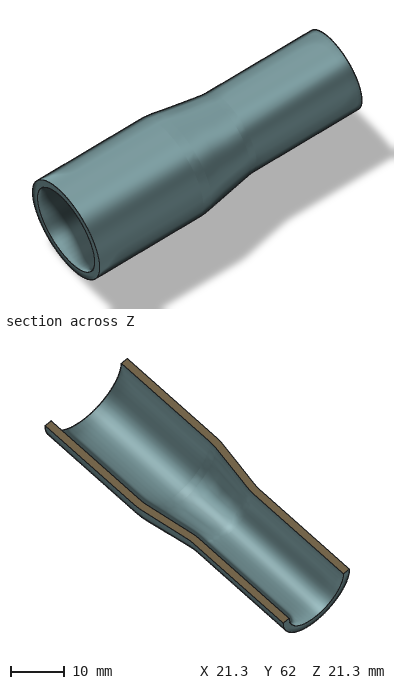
import cadquery as cq
import math

length = 62.0
large_outer_diameter = 21.3
large_bore_diameter = 18.1
small_outer_diameter = 17.2
small_bore_diameter = 14.0

cone_length = 12.0
inner_bend_radius = 10.4

wall = (large_outer_diameter - large_bore_diameter) / 2
large_outer_bend = inner_bend_radius + wall
small_outer_bend = inner_bend_radius - wall
cone_start = (length - cone_length) / 2
radius_drop = (large_outer_diameter - small_outer_diameter) / 2
cone_angle = math.atan2(radius_drop, cone_length)
bore_shift = wall * math.tan(cone_angle / 2)


def reducer_body(large_diameter, small_diameter, cone_start_y, large_bend, small_bend):
    """Solid of revolution about Y: large cylinder, cone, small cylinder, with rounded bends."""
    large_radius = large_diameter / 2
    small_radius = small_diameter / 2
    cone_end_y = cone_start_y + cone_length
    body = (
        cq.Workplane("XY")
        .moveTo(0, 0)
        .lineTo(large_radius, 0)
        .lineTo(large_radius, cone_start_y)
        .lineTo(small_radius, cone_end_y)
        .lineTo(small_radius, length)
        .lineTo(0, length)
        .close()
        .revolve(360, (0, 0, 0), (0, 1, 0))
    )
    for bend_y, bend_radius in ((cone_start_y, large_bend), (cone_end_y, small_bend)):
        bend_edge = cq.selectors.BoxSelector(
            (-length, bend_y - wall, -length),
            (length, bend_y + wall, length),
            boundingbox=True,
        )
        body = body.edges(bend_edge).fillet(bend_radius)
    return body


outside = reducer_body(
    large_outer_diameter, small_outer_diameter, cone_start, large_outer_bend, small_outer_bend
)
bore = reducer_body(
    large_bore_diameter, small_bore_diameter, cone_start - bore_shift, inner_bend_radius, inner_bend_radius
)

result = outside.cut(bore)